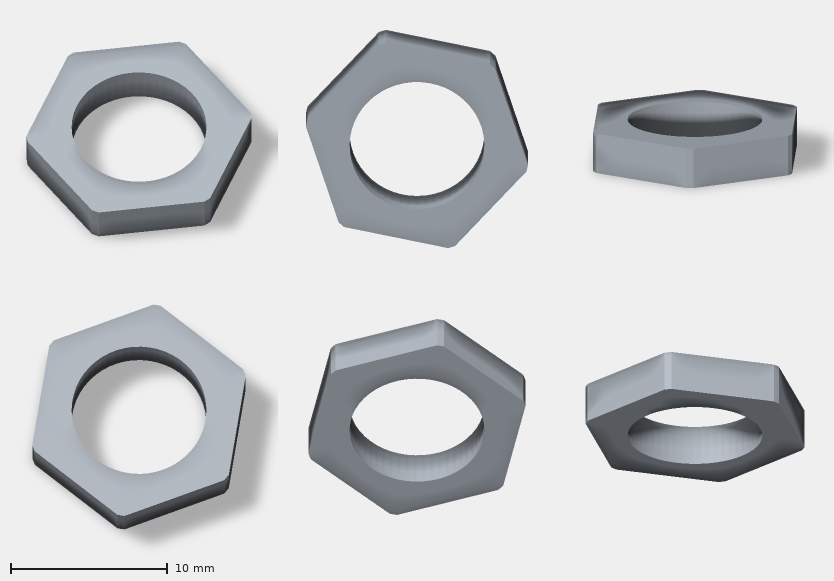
import cadquery as cq
import math

side_count = 6
across_flats = 12.7
corner_diameter = 14.4
bore_diameter = 8.6
thickness = 2.6

sharp_corner_diameter = across_flats / math.cos(math.pi / side_count)


def hex_blank():
    """Sharp hexagonal prism with two corners on the X axis."""
    return cq.Workplane("XY").polygon(side_count, sharp_corner_diameter).extrude(thickness)


def turned_ring():
    """Ring whose outside rounds the corners and whose inside is the through bore."""
    return (
        cq.Workplane("XY")
        .circle(corner_diameter / 2)
        .circle(bore_diameter / 2)
        .extrude(thickness)
    )


result = hex_blank().intersect(turned_ring())